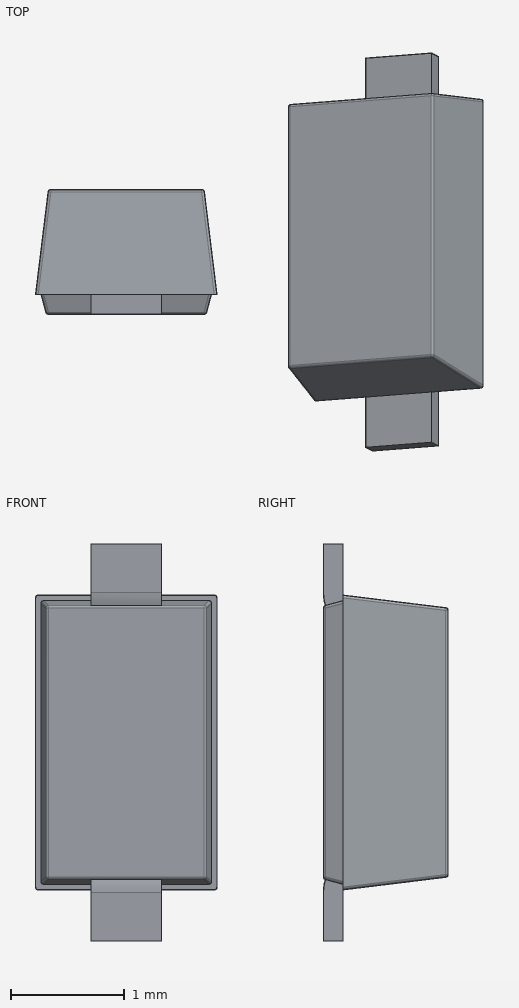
import cadquery as cq
import math

overall_length = 3.5
overall_depth = 1.1
parting_y = 0.175

cap_width = 1.6
cap_length = 2.597
cap_draft = 7.0
cap_depth = overall_depth - parting_y

base_margin = 0.05
base_width = cap_width - 2 * base_margin
base_length = cap_length - 2 * base_margin
base_draft = 15.0

edge_radius = 0.025

lead_width = 0.623
lead_flat_length = 0.43
bend_radius = 0.385
lead_trim_overlap = 0.14


def tapered_moulding(width, length, depth, draft, direction):
    """Drafted block rising from the parting plane along Y, with rounded edges off that plane."""
    inset = depth * math.tan(math.radians(draft))
    parting_plane = cq.Plane(origin=(0, parting_y, 0), xDir=(1, 0, 0), normal=(0, direction, 0))
    block = (
        cq.Workplane(parting_plane)
        .rect(width, length)
        .workplane(offset=depth)
        .rect(width - 2 * inset, length - 2 * inset)
        .loft(ruled=True)
    )
    parting_side = "<Y" if direction > 0 else ">Y"
    parting_edges = block.faces(parting_side).edges().vals()
    rounded_edges = [
        edge for edge in block.edges().vals()
        if not any(edge.isSame(parting_edge) for parting_edge in parting_edges)
    ]
    return block.newObject(rounded_edges).fillet(edge_radius)


def bend_y(run):
    """Y of the bent front face at a distance along Z from the start of the bend."""
    return bend_radius - math.sqrt(bend_radius ** 2 - run ** 2)


def make_lead(end, base):
    """Flat lead at the +Z (end = 1) or -Z (end = -1) end, trimmed to the end face of the base."""
    tip_z = overall_length / 2
    bend_start_z = tip_z - lead_flat_length
    inner_z = base_length / 2 - lead_trim_overlap
    bend_run = bend_start_z - inner_z

    strip = (
        cq.Workplane("YZ", origin=(-lead_width / 2, 0, 0))
        .moveTo(parting_y, end * tip_z)
        .lineTo(0, end * tip_z)
        .lineTo(0, end * bend_start_z)
        .threePointArc(
            (bend_y(bend_run / 2), end * (bend_start_z - bend_run / 2)),
            (bend_y(bend_run), end * inner_z),
        )
        .lineTo(parting_y, end * inner_z)
        .close()
        .extrude(lead_width)
    )
    return strip.cut(base)


cap = tapered_moulding(cap_width, cap_length, cap_depth, cap_draft, 1)
base = tapered_moulding(base_width, base_length, parting_y, base_draft, -1)
leads = [make_lead(end, base) for end in (1, -1)]

result = cq.Compound.makeCompound([cap.val(), base.val(), *[lead.val() for lead in leads]])